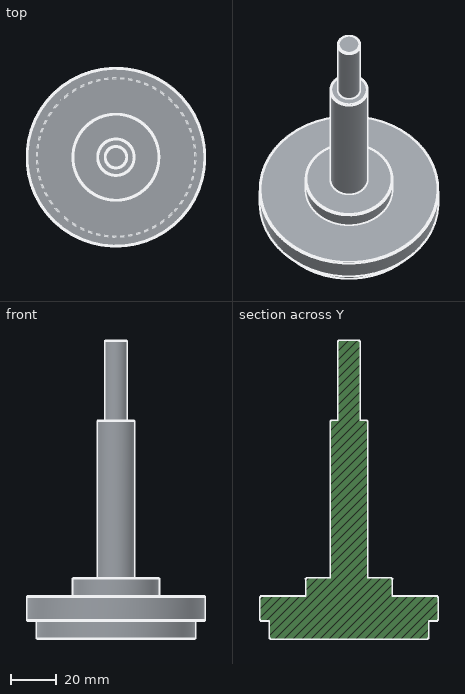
import cadquery as cq

total_height = 131.0
spigot_height = 8.0
flange_height = 11.0
hub_height = 8.0
pin_height = 35.0
shaft_height = total_height - spigot_height - flange_height - hub_height - pin_height

spigot_diameter = 70.0
flange_diameter = 78.5
hub_diameter = 38.3
shaft_diameter = 16.5
pin_diameter = 10.0

edge_chamfer = 0.5


def stack_step(body, diameter, height, chamfered_edges):
    """Add a coaxial cylinder on top of the body, with its chosen rims chamfered."""
    base_z = body.val().BoundingBox().zmax if body else 0.0
    step = (
        cq.Workplane("XY", origin=(0, 0, base_z))
        .circle(diameter / 2)
        .extrude(height)
        .edges(chamfered_edges)
        .chamfer(edge_chamfer)
    )
    return body.union(step) if body else step


bottom_rim = "<Z"
top_rim = ">Z"
both_rims = "<Z or >Z"

result = stack_step(None, spigot_diameter, spigot_height, bottom_rim)
result = stack_step(result, flange_diameter, flange_height, both_rims)
result = stack_step(result, hub_diameter, hub_height, top_rim)
result = stack_step(result, shaft_diameter, shaft_height, top_rim)
result = stack_step(result, pin_diameter, pin_height, top_rim)